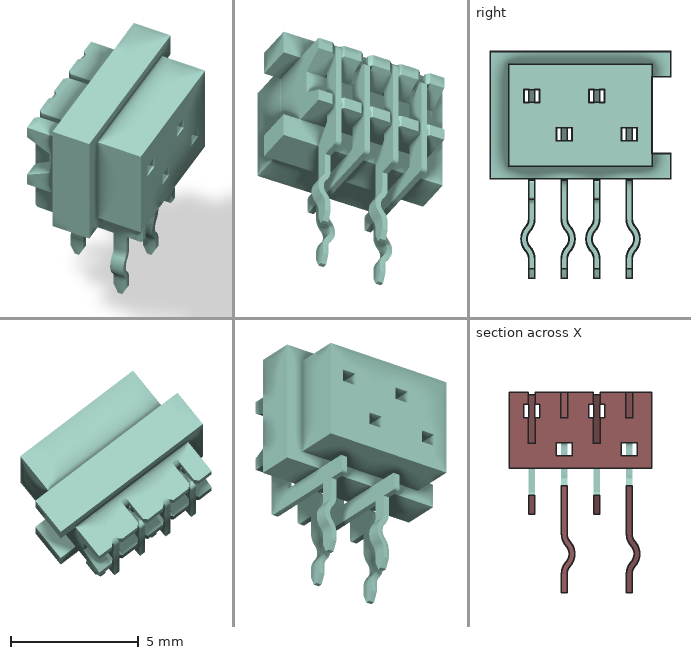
import cadquery as cq
import math


overall_height = 8.9
flange_width = 7.08
flange_height = 5.0
flange_thickness = 1.61
mating_block_width = 5.62
mating_block_height = 4.005
rib_depth = 1.5
rib_width = 5.6
rib_height = 3.0
overall_depth = 5.0
housing_center_z = overall_height - flange_height / 2
rib_top = housing_center_z + rib_height / 2
rib_bottom = housing_center_z - rib_height / 2
mating_block_depth = overall_depth - rib_depth - flange_thickness

groove_depth = 1.0
groove_mouth_height = 2.0
groove_floor_height = 1.01
groove_floor_top = housing_center_z + groove_floor_height / 2
groove_floor_bottom = housing_center_z - groove_floor_height / 2
window_height = (groove_mouth_height - groove_floor_height) / 2
window_width = 0.6
slot_chamfer = 0.14

contact_count = 4
contact_pitch = 1.27
contact_thickness = 0.24
short_contact_column_depth = 0.75
long_contact_column_depth = groove_depth
head_depth = 1.64
foot_bottom = 3.1
foot_top = 3.845
long_foot_length = 4.7
high_corner_radius = 0.25
heel_radius = 0.14
foot_end_radius = 0.11
inner_foot_radius = 0.13

step_top = groove_floor_top + window_height
step_low = 6.915
step_slope_start = 0.25
step_slope_end = 0.765
riser_x = 1.015
riser_base_radius = 0.13
step_corner_radius = 0.13
step_slope_radius = 0.12

pin_width = 0.56
pin_tip_width = 0.19
pin_tip_height = 0.38
near_pin_x = 1.17
far_pin_x = 3.7
near_pin_end = near_pin_x + pin_width / 2
bend_center_z = 1.55
bend_height = 1.58
bend_offset = 0.3


def block(depth, width, height, x_min, center_y, z_min):
    """Box given by its lowest X, the middle of its Y range and its lowest Z."""
    box = cq.Workplane("XY").box(depth, width, height, centered=(False, True, False))
    return box.translate((x_min, center_y, z_min))


def plate(points, thickness):
    """XZ outline extruded symmetrically about Y = 0."""
    return cq.Workplane("XZ").polyline(points).close().extrude(thickness / 2, both=True)


def round_corner(body, x, z, radius):
    """Fillet the edge that runs along Y through (x, z)."""
    return body.edges(cq.selectors.NearestToPointSelector((x, 0, z))).fillet(radius)


def is_long_footed(index):
    """Counted from +Y, every second contact has the long foot."""
    return index % 2 == 1


def contact_y(index):
    return ((contact_count - 1) / 2 - index) * contact_pitch




def housing_blank():
    flange = block(flange_thickness, flange_width, flange_height,
                   rib_depth, 0, overall_height - flange_height)
    mating_block = block(mating_block_depth, mating_block_width, mating_block_height,
                         rib_depth + flange_thickness, 0, housing_center_z - mating_block_height / 2)
    rib = block(rib_depth, rib_width, rib_height, 0, 0, rib_bottom)
    return flange.union(mating_block).union(rib)


def flange_side_notch():
    """Opening in the +Y end of the flange, level with the rib."""
    notch_depth = (flange_width - rib_width) / 2
    return block(flange_thickness, notch_depth, rib_height,
                 rib_depth, (rib_width + notch_depth) / 2, rib_bottom)


def rib_groove():
    return plate(
        [
            (0, housing_center_z - groove_mouth_height / 2),
            (groove_depth, groove_floor_bottom),
            (groove_depth, groove_floor_top),
            (0, housing_center_z + groove_mouth_height / 2),
        ],
        rib_width,
    )


def contact_slot(index):
    """Slot that holds one contact, with chamfered edges at the rear face of the rib."""
    y = contact_y(index)
    if is_long_footed(index):
        column_depth = long_contact_column_depth
        head_bottom = groove_floor_bottom
    else:
        column_depth = short_contact_column_depth
        head_bottom = groove_floor_top
    column_slot = block(column_depth, contact_thickness, rib_height, 0, y, rib_bottom)
    head_slot = block(head_depth, contact_thickness, rib_top - head_bottom, 0, y, head_bottom)
    half_slot = contact_thickness / 2
    half_mouth = half_slot + slot_chamfer
    lead_in = (
        cq.Workplane("XY", origin=(0, y, rib_bottom))
        .polyline([(0, -half_mouth), (slot_chamfer, -half_slot), (slot_chamfer, half_slot), (0, half_mouth)])
        .close()
        .extrude(rib_height)
    )
    return column_slot.union(head_slot).union(lead_in)


def contact_window(index):
    """Opening through the full depth: above the groove floor for long feet, below it for short ones."""
    z_min = groove_floor_top if is_long_footed(index) else groove_floor_bottom - window_height
    return block(overall_depth, window_width, window_height, 0, contact_y(index), z_min)


def make_housing():
    body = housing_blank().cut(flange_side_notch()).cut(rib_groove())
    for index in range(contact_count):
        body = body.cut(contact_slot(index)).cut(contact_window(index))
    return body




def solder_pin(center_x, bend_direction):
    """Pin with a pointed tip and a sideways bend made of four tangent arcs."""
    half_angle = math.atan(2 * bend_offset / bend_height)
    bend_angle = 2 * half_angle
    mean_radius = bend_height / (4 * math.sin(bend_angle))
    half = contact_thickness / 2
    side = bend_direction
    start_z = bend_center_z + bend_height / 2
    end_z = bend_center_z - bend_height / 2
    end_center_y = side * mean_radius
    crest_center_y = side * (bend_offset - mean_radius)
    inner_radius = mean_radius - half
    outer_radius = mean_radius + half

    def end_arc_point(radius, angle, center_z, upward):
        return (end_center_y - side * radius * math.cos(angle), center_z + upward * radius * math.sin(angle))

    def crest_point(radius, angle):
        return (crest_center_y + side * radius * math.cos(angle), bend_center_z + radius * math.sin(angle))

    profile = (
        cq.Workplane("YZ")
        .moveTo(side * half, 0)
        .lineTo(side * half, end_z)
        .threePointArc(end_arc_point(inner_radius, half_angle, end_z, 1), crest_point(outer_radius, -bend_angle))
        .threePointArc(crest_point(outer_radius, 0), crest_point(outer_radius, bend_angle))
        .threePointArc(end_arc_point(inner_radius, half_angle, start_z, -1), (side * half, start_z))
        .lineTo(side * half, foot_bottom)
        .lineTo(-side * half, foot_bottom)
        .lineTo(-side * half, start_z)
        .threePointArc(end_arc_point(outer_radius, half_angle, start_z, -1), crest_point(inner_radius, bend_angle))
        .threePointArc(crest_point(inner_radius, 0), crest_point(inner_radius, -bend_angle))
        .threePointArc(end_arc_point(outer_radius, half_angle, end_z, 1), (-side * half, end_z))
        .lineTo(-side * half, 0)
        .close()
        .extrude(pin_width / 2, both=True)
    )
    outline = plate(
        [
            (-pin_tip_width / 2, 0),
            (pin_tip_width / 2, 0),
            (pin_width / 2, pin_tip_height),
            (pin_width / 2, foot_bottom),
            (-pin_width / 2, foot_bottom),
            (-pin_width / 2, pin_tip_height),
        ],
        2 * (bend_offset + contact_thickness),
    )
    return profile.intersect(outline).translate((center_x, 0, 0))


def make_short_contact():
    """Flat-topped contact whose pin is close to the column; its pin bends towards +Y."""
    gusset_top = foot_top + near_pin_end - short_contact_column_depth
    body = plate(
        [
            (0, foot_bottom),
            (near_pin_end, foot_bottom),
            (near_pin_end, foot_top),
            (short_contact_column_depth, gusset_top),
            (short_contact_column_depth, groove_floor_top),
            (head_depth, groove_floor_top),
            (head_depth, rib_top),
            (0, rib_top),
        ],
        contact_thickness,
    )
    body = round_corner(body, 0, rib_top, high_corner_radius)
    body = round_corner(body, head_depth, rib_top, high_corner_radius)
    body = round_corner(body, 0, foot_bottom, heel_radius)
    return body.union(solder_pin(near_pin_x, 1))


def make_long_contact():
    """Contact with a stepped top and a long foot that carries the far pin; its pin bends towards -Y."""
    body = plate(
        [
            (0, foot_bottom),
            (long_foot_length, foot_bottom),
            (long_foot_length, foot_top),
            (long_contact_column_depth, foot_top),
            (long_contact_column_depth, groove_floor_bottom),
            (head_depth, groove_floor_bottom),
            (head_depth, rib_top),
            (riser_x, rib_top),
            (riser_x, step_low),
            (step_slope_end, step_low),
            (step_slope_start, step_top),
            (0, step_top),
        ],
        contact_thickness,
    )
    body = round_corner(body, riser_x, rib_top, high_corner_radius)
    body = round_corner(body, riser_x, step_low, riser_base_radius)
    body = round_corner(body, step_slope_end, step_low, step_slope_radius)
    body = round_corner(body, step_slope_start, step_top, step_slope_radius)
    body = round_corner(body, 0, step_top, step_corner_radius)
    body = round_corner(body, 0, foot_bottom, heel_radius)
    body = round_corner(body, long_foot_length, foot_bottom, foot_end_radius)
    body = round_corner(body, long_foot_length, foot_top, foot_end_radius)
    body = round_corner(body, long_contact_column_depth, foot_top, inner_foot_radius)
    return body.union(solder_pin(far_pin_x, -1))


housing = make_housing()

contacts = []
for index in range(contact_count):
    contact = make_long_contact() if is_long_footed(index) else make_short_contact()
    contacts.append(contact.translate((0, contact_y(index), 0)).val())

result = cq.Compound.makeCompound([housing.val(), *contacts])